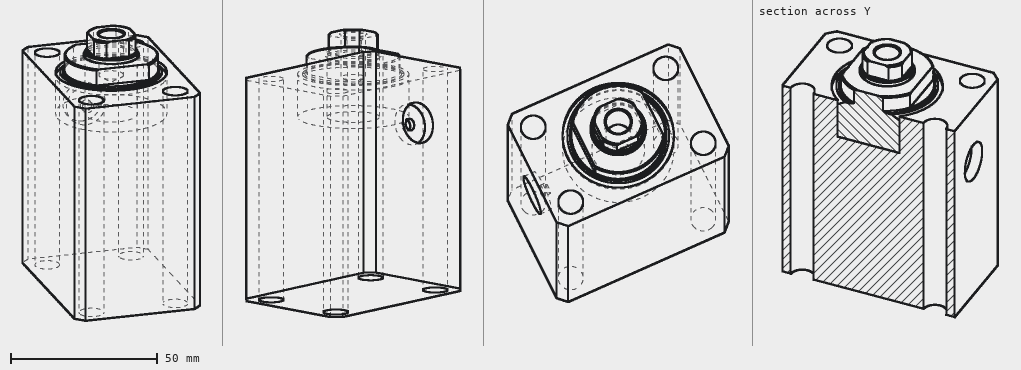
import cadquery as cq
import math

block_length = 65.0
block_width = 45.0
block_height = 77.0
block_chamfer = 3.0

bolt_hole_diameter = 8.5
bolt_spacing_x = 50.0
bolt_spacing_y = 30.0

port_below_top = 22.0
spotface_diameter = 14.0
spotface_depth = 4.0
port_diameter = 4.0
port_depth = 2.0

gland_diameter = 38.0
gland_depth = 15.0
gland_chamfer = 1.6
head_diameter = 32.0
head_height = 6.3
head_chamfer = 0.4
head_foot = 0.55
head_across_flats = 26.0
gland_bore_chamfer = 0.5

rod_diameter = 18.0
rod_total_rise = 13.9
rod_shank_rise = 7.8
rod_across_flats = 15.0
rod_chamfer = 0.5

tap_diameter = 8.5
tap_depth = 15.0
tap_chamfer = 0.4
drill_point_angle = 118.0

pocket_floor_z = block_height - gland_depth
head_foot_z = block_height + head_foot
head_top_z = block_height + head_height
rod_shank_top_z = block_height + rod_shank_rise
rod_top_z = block_height + rod_total_rise


def revolve_about_z(points):
    """Turn a closed (radius, z) outline about the Z axis."""
    return cq.Workplane("XZ").polyline(points).close().revolve(360, (0, 0, 0), (0, 1, 0))


def make_port():
    """Cutter for the spotface and hole entering the -X face."""
    spotface = cq.Workplane("XY").circle(spotface_diameter / 2).extrude(-spotface_depth)
    hole = cq.Workplane("XY").circle(port_diameter / 2).extrude(-spotface_depth - port_depth)
    port = spotface.union(hole).rotate((0, 0, 0), (0, 1, 0), -90)
    return port.translate((-block_length / 2, 0, block_height - port_below_top))


def make_housing():
    block = cq.Workplane("XY").box(block_length, block_width, block_height, centered=(True, True, False))
    block = block.edges("|Z").chamfer(block_chamfer)
    bolt_holes = (
        cq.Workplane("XY")
        .rarray(bolt_spacing_x, bolt_spacing_y, 2, 2)
        .circle(bolt_hole_diameter / 2)
        .extrude(block_height)
    )
    pocket = cq.Workplane("XY").workplane(offset=pocket_floor_z).circle(gland_diameter / 2).extrude(gland_depth)
    return block.cut(bolt_holes).cut(pocket).cut(make_port()).solids()


def make_gland():
    flange_radius = gland_diameter / 2
    head_radius = head_diameter / 2
    bore_radius = rod_diameter / 2
    gland = revolve_about_z([
        (bore_radius, pocket_floor_z),
        (flange_radius, pocket_floor_z),
        (flange_radius, block_height - gland_chamfer),
        (flange_radius - gland_chamfer, block_height),
        (head_radius + head_foot, block_height),
        (head_radius, head_foot_z),
        (head_radius, head_top_z - head_chamfer),
        (head_radius - head_chamfer, head_top_z),
        (bore_radius + gland_bore_chamfer, head_top_z),
        (bore_radius, head_top_z - gland_bore_chamfer),
    ])
    head_zone = cq.Workplane("XY").workplane(offset=head_foot_z)
    kept = head_zone.rect(head_across_flats, gland_diameter).extrude(head_height)
    removed = head_zone.circle(gland_diameter / 2).extrude(head_height).cut(kept)
    return gland.cut(removed).solids()


def make_rod():
    shank_radius = rod_diameter / 2
    end_radius = shank_radius - rod_chamfer
    rod = revolve_about_z([
        (0, pocket_floor_z),
        (shank_radius, pocket_floor_z),
        (shank_radius, rod_shank_top_z - rod_chamfer),
        (end_radius, rod_shank_top_z),
        (end_radius, rod_top_z - rod_chamfer),
        (end_radius - rod_chamfer, rod_top_z),
        (0, rod_top_z),
    ])
    end_height = rod_top_z - rod_shank_top_z
    end_zone = cq.Workplane("XY").workplane(offset=rod_shank_top_z)
    kept = end_zone.rect(rod_across_flats, rod_across_flats).extrude(end_height)
    removed = end_zone.circle(shank_radius).extrude(end_height).cut(kept)
    tap_radius = tap_diameter / 2
    point_length = tap_radius / math.tan(math.radians(drill_point_angle / 2))
    tapped_hole = revolve_about_z([
        (0, rod_top_z),
        (tap_radius + tap_chamfer, rod_top_z),
        (tap_radius, rod_top_z - tap_chamfer),
        (tap_radius, rod_top_z - tap_depth),
        (0, rod_top_z - tap_depth - point_length),
    ])
    return rod.cut(removed).cut(tapped_hole).solids()


housing = make_housing()
gland = make_gland()
rod = make_rod()

result = cq.Compound.makeCompound([housing.val(), gland.val(), rod.val()])